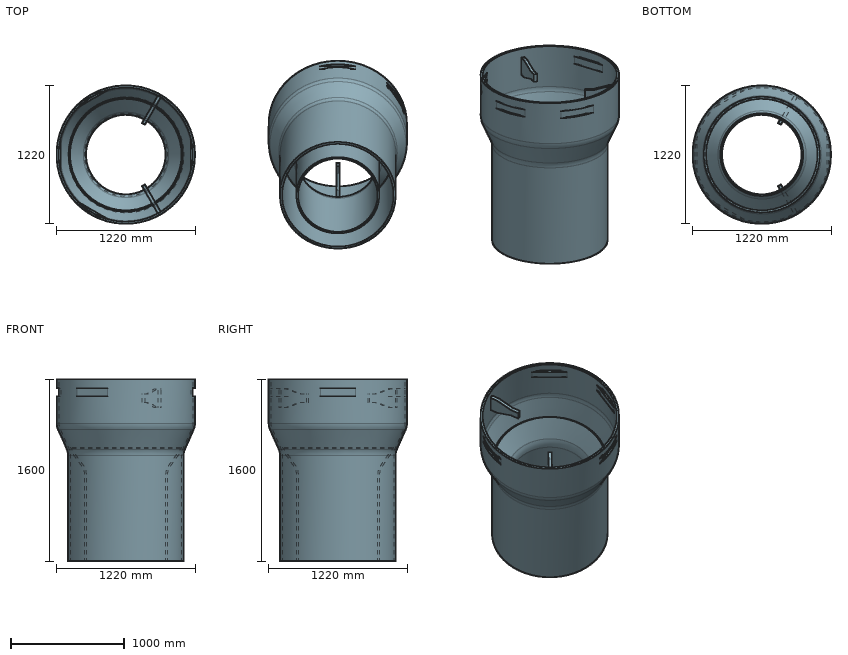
import cadquery as cq
import math

total_height = 1600.0
wall = 20.0
socket_radius = 1220.0 / 2
shaft_radius = 1020.0 / 2
socket_inner_radius = socket_radius - wall
shaft_inner_radius = shaft_radius - wall
cone_bottom_z = 959.0
cone_top_z = 1185.0
casing_bend_radius = 130.0

window_top_z = 1520.0
window_height = 70.0
window_outer_flat = socket_inner_radius
window_inner_flat = window_outer_flat - wall
window_angles = (0, 120, 180, 240)

funnel_outlet_radius = 730.0 / 2
funnel_wall = 16.0
funnel_bore_radius = funnel_outlet_radius - funnel_wall
funnel_angle = math.radians(36)
funnel_bend_radius = 140.0
funnel_bottom_z = 0.0

fin_thickness = 30.0
fin_tip_radius = 311.0
fin_tip_height = 73.0
fin_root_height = 165.0
fin_tip_length = 71.0
fin_root_length = 66.0
fin_top_z = 1517.0
fin_middle_z = fin_top_z - fin_root_height / 2
fin_angles = (60, -60)

cone_angle = math.atan2(socket_radius - shaft_radius, cone_top_z - cone_bottom_z)
bend_tangent = casing_bend_radius * math.tan(cone_angle / 2)
lower_bend_z = cone_bottom_z - bend_tangent
upper_bend_z = cone_top_z + bend_tangent


def bend_point(axis_radius, start_z, bend_radius, angle, side):
    """Point on a bend that starts vertical at start_z; side is +1 going up, -1 going down.

    Going up the bend leads outward, going down it leads inward.
    """
    r = axis_radius + side * bend_radius * (1 - math.cos(angle))
    z = start_z + side * bend_radius * math.sin(angle)
    return (r, z)


def revolve_profile(profile):
    """Turn an (r, z) profile a full circle about the Z axis."""
    return profile.close().revolve(360, (0, 0, 0), (0, 1, 0))


def skin_points(shaft_r, socket_r, lower_bend, upper_bend):
    """Start, middle and end of the two bends on one skin of the casing, from the bottom up."""
    half = cone_angle / 2
    lower = [bend_point(shaft_r, lower_bend_z, lower_bend, a, 1) for a in (0, half, cone_angle)]
    upper = [bend_point(socket_r, upper_bend_z, upper_bend, a, -1) for a in (cone_angle, half, 0)]
    return lower, upper


outer_lower, outer_upper = skin_points(
    shaft_radius, socket_radius, casing_bend_radius, casing_bend_radius
)
inner_lower, inner_upper = skin_points(
    shaft_inner_radius, socket_inner_radius, casing_bend_radius + wall, casing_bend_radius - wall
)


def window_block(distance, length, width, angle):
    """Block of window height whose inner face lies at the given distance from the axis."""
    return (
        cq.Workplane("XY", origin=(0, 0, window_top_z - window_height))
        .center(distance + length / 2, 0)
        .rect(length, width)
        .extrude(window_height)
        .rotate((0, 0, 0), (0, 0, 1), angle)
    )


def make_casing():
    """Bent shell of revolution with flat windows around the socket."""
    shell = revolve_profile(
        cq.Workplane("XZ")
        .moveTo(shaft_inner_radius, 0)
        .lineTo(shaft_radius, 0)
        .lineTo(*outer_lower[0])
        .threePointArc(*outer_lower[1:])
        .lineTo(*outer_upper[0])
        .threePointArc(*outer_upper[1:])
        .lineTo(socket_radius, total_height)
        .lineTo(socket_inner_radius, total_height)
        .lineTo(*inner_upper[2])
        .threePointArc(inner_upper[1], inner_upper[0])
        .lineTo(*inner_lower[2])
        .threePointArc(inner_lower[1], inner_lower[0])
    )

    block_length = 2 * wall
    block_width = 2 * socket_radius
    mid_wall_disc = cq.Workplane("XY").circle(socket_radius - wall / 2).extrude(total_height)
    for angle in window_angles:
        backing = window_block(window_inner_flat, block_length, block_width, angle)
        recess = window_block(window_outer_flat, block_length, block_width, angle)
        shell = shell.union(backing.intersect(mid_wall_disc)).cut(recess)
    return shell


def make_funnel():
    """Funnel whose rim is square to its wall and rests on the lower end of the casing cone."""
    rim_outer_r, rim_outer_z = inner_lower[2]
    rim_inner_r = rim_outer_r - funnel_wall * math.cos(funnel_angle)
    rim_inner_z = rim_outer_z + funnel_wall * math.sin(funnel_angle)

    bend_end_r = bend_point(funnel_bore_radius, 0, funnel_bend_radius, funnel_angle, 1)[0]
    bend_end_z = rim_inner_z - (rim_inner_r - bend_end_r) / math.tan(funnel_angle)
    bend_start_z = bend_end_z - funnel_bend_radius * math.sin(funnel_angle)

    angles = (0, funnel_angle / 2, funnel_angle)
    outer_bend_radius = funnel_bend_radius - funnel_wall
    inner = [bend_point(funnel_bore_radius, bend_start_z, funnel_bend_radius, a, 1) for a in angles]
    outer = [bend_point(funnel_outlet_radius, bend_start_z, outer_bend_radius, a, 1) for a in angles]
    return revolve_profile(
        cq.Workplane("XZ")
        .moveTo(funnel_bore_radius, funnel_bottom_z)
        .lineTo(funnel_outlet_radius, funnel_bottom_z)
        .lineTo(*outer[0])
        .threePointArc(*outer[1:])
        .lineTo(rim_outer_r, rim_outer_z)
        .lineTo(rim_inner_r, rim_inner_z)
        .lineTo(*inner[2])
        .threePointArc(inner[1], inner[0])
    )


def make_fin(angle):
    """Tapered fin, tall at the socket wall and low at its tip, trimmed to the round wall."""
    slope_start_r = fin_tip_radius + fin_tip_length
    slope_end_r = socket_inner_radius - fin_root_length
    upper_edge = [
        (fin_tip_radius, fin_tip_height / 2),
        (slope_start_r, fin_tip_height / 2),
        (slope_end_r, fin_root_height / 2),
        (socket_radius, fin_root_height / 2),
    ]
    lower_edge = [(r, -z) for r, z in reversed(upper_edge)]
    plate = (
        cq.Workplane("XZ", origin=(0, 0, fin_middle_z))
        .polyline(upper_edge + lower_edge)
        .close()
        .extrude(fin_thickness / 2, both=True)
    )
    bore = cq.Workplane("XY").circle(socket_inner_radius).extrude(total_height)
    return plate.intersect(bore).rotate((0, 0, 0), (0, 0, 1), angle)


casing = make_casing()
funnel = make_funnel()
fins = [make_fin(angle) for angle in fin_angles]

result = cq.Compound.makeCompound([casing.val(), funnel.val(), *[fin.val() for fin in fins]])